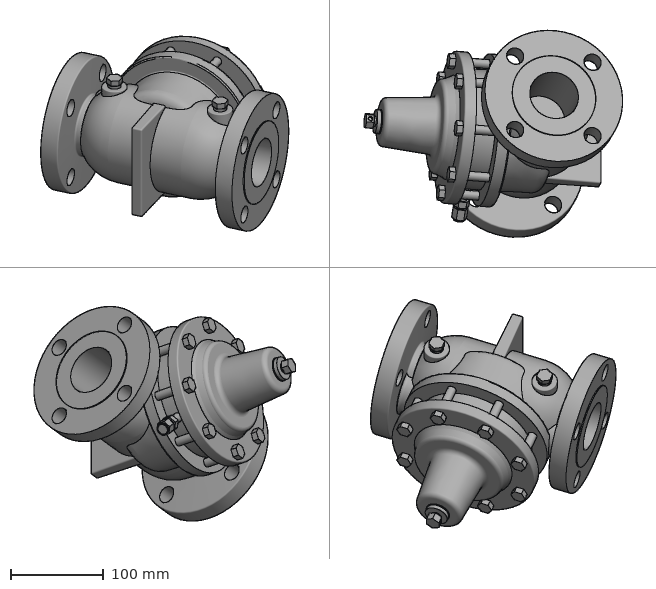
import cadquery as cq
import math

TOTAL_LENGTH_Y = 260.3

FACE_X = 114.3
FLANGE_OUTER_X = 113.0
FLANGE_INNER_X = 92.7
FLANGE_RADIUS = 76.0
RAISED_FACE_RADIUS = 46.0
FLANGE_HUB_X = 91.0
FLANGE_EDGE_FILLET = 1.5
FLANGE_BOLT_CIRCLE_RADIUS = 60.5
FLANGE_BOLT_HOLE_DIAMETER = 18.7
BORE_DIAMETER = 53.5
BORE_END_X = 43.2

BODY_RADIUS = 54.0
SPHERE_CENTRE_X = 43.2
NECK_RADIUS = 33.5
NECK_START_X = 83.5
NECK_FILLET = 1.8

DIAPHRAGM_NECK_TOP_RADIUS = 65.0
DIAPHRAGM_NECK_LOW_RADIUS = 63.8
DIAPHRAGM_NECK_LOW_Y = -2.5
DIAPHRAGM_NECK_ROUND = 12.5
DIAPHRAGM_NECK_FILLET = 1.3

DISC_RADIUS = 82.5
LOWER_DISC_Y = (39.5, 53.5)
SPACER_Y = (53.5, 77.3)
SPACER_RADIUS = 65.0
UPPER_DISC_Y = (78.9, 91.5)
LOWER_DISC_FILLET = 1.5
UPPER_DISC_FILLET = 1.5

BONNET_FOOT_RADIUS = 56.5
BONNET_FOOT_TOP_RADIUS = 54.1
BONNET_FOOT_TOP_Y = 95.5
SHOULDER_RADIUS = 51.5
SHOULDER_Y = 102.8
SHOULDER_ROUND = 4.7
SHOULDER_FLAT_Y = 107.5
SHOULDER_FLAT_RADII = (47.5, 36.2)
BELL_BASE_RADIUS = 31.0
BELL_BASE_Y = 112.5
BELL_FILLET = 5.7
BELL_TOP_RADIUS = 26.8
BELL_TOP_SIDE_Y = 162.1
BELL_TOP_ROUND = 5.7
BELL_TOP_Y = 168.0
COLLAR_RADIUS = 12.8
COLLAR_BASE_RADIUS = 13.3
COLLAR_BASE_TOP_Y = 169.0
COLLAR_TOP_Y = 173.3
SCREW_RADIUS = 5.7
SCREW_HEAD_Y = 175.7
SCREW_HEAD_FLATS = 14.5
SEAL_HOLE_DIAMETER = 4.7
SEAL_HOLE_DEPTH = 2.5

BOLT_COUNT = 8
BOLT_CIRCLE_RADIUS = 71.3
BOLT_DIAMETER = 10.0
BOLT_HEAD_FLATS = 14.3
BOLT_HEAD_HEIGHT = 6.8

LEFT_PLUG_X = -59.3
RIGHT_PLUG_X = 65.3
PLUG_BOSS_RADIUS = 13.8
PLUG_BOSS_TOP_Z = 55.7
PLUG_BOSS_FILLET = 1.0
PLUG_COLLAR_RADIUS = 7.3
PLUG_HEAD_Z = (59.3, 65.8)
PLUG_HEAD_FLATS = 15.0

FOOT_END_Y = -75.0
FOOT_HALF_HEIGHT = 54.0
FOOT_ROOT_HALF_WIDTH = 7.5
FOOT_END_HALF_WIDTH = 6.2
FOOT_EDGE_FILLET = 1.8

PASSAGE_START_X = 70.3
PASSAGE_RADIUS = 23.5
PASSAGE_CENTRE_Y = 25.2
PASSAGE_FLARE = 4.0

FITTING_Y = 65.5
FITTING_ANGLE = 45.0
FITTING_OFFSET = -2.0
FITTING_ROOT_R = 57.3
FITTING_STEM_RADIUS = 5.2
FITTING_HEX_R = (82.2, 89.5)
FITTING_HEX_FLATS = 15.0
FITTING_NUT_R = (92.0, 105.0)
FITTING_NUT_FLATS = 14.3
FITTING_END_R = 106.5
FITTING_END_RADIUS = 5.7
FITTING_NUT_CHAMFER = 1.5


def corner_diameter(flats):
    """Across-corners size of a hexagon with the given size across flats."""
    return flats / math.cos(math.radians(30))


def disc(radius, y_range):
    """Round disc about the Y axis between two Y positions."""
    low, high = y_range
    return cq.Workplane("XZ", origin=(0, low, 0)).circle(radius).extrude(low - high)


def both_ends(half):
    """A feature on the +X side together with its mirror image on the -X side."""
    return half.union(half.mirror("YZ"))


def pipe_body():
    sphere_drop = NECK_START_X - SPHERE_CENTRE_X
    sphere_end_radius = math.sqrt(BODY_RADIUS**2 - sphere_drop**2)
    half = (
        cq.Workplane("XY")
        .lineTo(0, BODY_RADIUS)
        .lineTo(SPHERE_CENTRE_X, BODY_RADIUS)
        .radiusArc((NECK_START_X, sphere_end_radius), BODY_RADIUS)
        .lineTo(NECK_START_X, NECK_RADIUS)
        .lineTo(FLANGE_HUB_X - NECK_FILLET, NECK_RADIUS)
        .radiusArc((FLANGE_HUB_X, NECK_RADIUS + NECK_FILLET), -NECK_FILLET)
        .lineTo(FLANGE_INNER_X, FLANGE_RADIUS - FLANGE_EDGE_FILLET)
        .radiusArc((FLANGE_INNER_X + FLANGE_EDGE_FILLET, FLANGE_RADIUS), FLANGE_EDGE_FILLET)
        .lineTo(FLANGE_OUTER_X, FLANGE_RADIUS)
        .lineTo(FLANGE_OUTER_X, RAISED_FACE_RADIUS)
        .lineTo(FACE_X, RAISED_FACE_RADIUS)
        .lineTo(FACE_X, 0)
        .close()
        .revolve(360, (0, 0, 0), (1, 0, 0))
    )
    return both_ends(half)


def passages():
    flare_x = FLANGE_HUB_X - PASSAGE_FLARE
    half = (
        cq.Workplane("XY", origin=(0, PASSAGE_CENTRE_Y, 0))
        .moveTo(PASSAGE_START_X, 0)
        .lineTo(PASSAGE_START_X, PASSAGE_RADIUS)
        .lineTo(flare_x, PASSAGE_RADIUS)
        .radiusArc((FLANGE_HUB_X, PASSAGE_RADIUS + PASSAGE_FLARE), -PASSAGE_FLARE)
        .lineTo(FLANGE_INNER_X, PASSAGE_RADIUS + PASSAGE_FLARE)
        .lineTo(FLANGE_INNER_X, 0)
        .close()
        .revolve(360, (0, 0, 0), (1, 0, 0))
    )
    return both_ends(half)


def diaphragm_neck():
    top_y = LOWER_DISC_Y[0]
    bottom_y = DIAPHRAGM_NECK_LOW_Y - DIAPHRAGM_NECK_ROUND
    return (
        cq.Workplane("XY")
        .moveTo(0, bottom_y)
        .lineTo(DIAPHRAGM_NECK_LOW_RADIUS - DIAPHRAGM_NECK_ROUND, bottom_y)
        .radiusArc((DIAPHRAGM_NECK_LOW_RADIUS, DIAPHRAGM_NECK_LOW_Y), -DIAPHRAGM_NECK_ROUND)
        .lineTo(DIAPHRAGM_NECK_TOP_RADIUS, top_y - DIAPHRAGM_NECK_FILLET)
        .radiusArc((DIAPHRAGM_NECK_TOP_RADIUS + DIAPHRAGM_NECK_FILLET, top_y), DIAPHRAGM_NECK_FILLET)
        .lineTo(0, top_y)
        .close()
        .revolve(360, (0, 0, 0), (0, 1, 0))
    )


def clamped_discs():
    lower = disc(DISC_RADIUS, LOWER_DISC_Y).faces("<Y").edges().fillet(LOWER_DISC_FILLET)
    spacer = disc(SPACER_RADIUS, SPACER_Y)
    upper = disc(DISC_RADIUS, UPPER_DISC_Y).faces(">Y").edges().fillet(UPPER_DISC_FILLET)
    return lower.union(spacer).union(upper)


def bonnet():
    base_y = UPPER_DISC_Y[1]
    return (
        cq.Workplane("XY")
        .moveTo(0, base_y)
        .lineTo(BONNET_FOOT_RADIUS, base_y)
        .lineTo(BONNET_FOOT_TOP_RADIUS, BONNET_FOOT_TOP_Y)
        .lineTo(SHOULDER_RADIUS, SHOULDER_Y)
        .radiusArc((SHOULDER_FLAT_RADII[0], SHOULDER_FLAT_Y), -SHOULDER_ROUND)
        .lineTo(SHOULDER_FLAT_RADII[1], SHOULDER_FLAT_Y)
        .radiusArc((BELL_BASE_RADIUS, BELL_BASE_Y), BELL_FILLET)
        .lineTo(BELL_TOP_RADIUS, BELL_TOP_SIDE_Y)
        .radiusArc((BELL_TOP_RADIUS - BELL_TOP_ROUND, BELL_TOP_Y), -BELL_TOP_ROUND)
        .lineTo(COLLAR_BASE_RADIUS, BELL_TOP_Y)
        .lineTo(COLLAR_BASE_RADIUS, COLLAR_BASE_TOP_Y)
        .lineTo(COLLAR_RADIUS, COLLAR_BASE_TOP_Y)
        .lineTo(COLLAR_RADIUS, COLLAR_TOP_Y)
        .lineTo(SCREW_RADIUS, COLLAR_TOP_Y)
        .lineTo(SCREW_RADIUS, SCREW_HEAD_Y)
        .lineTo(0, SCREW_HEAD_Y)
        .close()
        .revolve(360, (0, 0, 0), (0, 1, 0))
    )


def adjusting_screw_head():
    head_top_y = TOTAL_LENGTH_Y - FLANGE_RADIUS
    head = (
        cq.Workplane("XZ", origin=(0, SCREW_HEAD_Y, 0))
        .transformed(rotate=(0, 0, 30))
        .polygon(6, corner_diameter(SCREW_HEAD_FLATS))
        .extrude(SCREW_HEAD_Y - head_top_y)
    )
    seal_hole = (
        cq.Workplane("YZ", origin=(-SCREW_HEAD_FLATS / 2, (SCREW_HEAD_Y + head_top_y) / 2, 0))
        .circle(SEAL_HOLE_DIAMETER / 2)
        .extrude(SEAL_HOLE_DEPTH)
    )
    return head.cut(seal_hole)


def clamping_bolts():
    first_angle = 180 / BOLT_COUNT
    shank_y = LOWER_DISC_Y[1]
    head_y = UPPER_DISC_Y[1]
    bolts = cq.Workplane("XZ")
    for i in range(BOLT_COUNT):
        angle = math.radians(first_angle + i * 360 / BOLT_COUNT)
        x = BOLT_CIRCLE_RADIUS * math.cos(angle)
        z = BOLT_CIRCLE_RADIUS * math.sin(angle)
        shank = cq.Workplane("XZ", origin=(x, shank_y, z)).circle(BOLT_DIAMETER / 2).extrude(shank_y - head_y)
        head = (
            cq.Workplane("XZ", origin=(x, head_y, z))
            .polygon(6, corner_diameter(BOLT_HEAD_FLATS))
            .extrude(-BOLT_HEAD_HEIGHT)
        )
        bolts = bolts.union(shank).union(head)
    return bolts


def plug(x):
    boss = (
        cq.Workplane("XY", origin=(x, 0, 0))
        .circle(PLUG_BOSS_RADIUS)
        .extrude(PLUG_BOSS_TOP_Z)
        .faces(">Z").edges().fillet(PLUG_BOSS_FILLET)
    )
    collar = cq.Workplane("XY", origin=(x, 0, 0)).circle(PLUG_COLLAR_RADIUS).extrude(PLUG_HEAD_Z[0])
    head = (
        cq.Workplane("XY", origin=(x, 0, PLUG_HEAD_Z[0]))
        .transformed(rotate=(0, 0, 30))
        .polygon(6, corner_diameter(PLUG_HEAD_FLATS))
        .extrude(PLUG_HEAD_Z[1] - PLUG_HEAD_Z[0])
    )
    return boss.union(collar).union(head)


def foot_plate():
    return (
        cq.Workplane("XY", origin=(0, 0, -FOOT_HALF_HEIGHT))
        .moveTo(-FOOT_ROOT_HALF_WIDTH, 0)
        .lineTo(FOOT_ROOT_HALF_WIDTH, 0)
        .lineTo(FOOT_END_HALF_WIDTH, FOOT_END_Y)
        .lineTo(-FOOT_END_HALF_WIDTH, FOOT_END_Y)
        .close()
        .extrude(2 * FOOT_HALF_HEIGHT)
        .faces("<Y or <Z or >Z").edges("not >Y").fillet(FOOT_EDGE_FILLET)
    )


def vent_fitting():
    """Built along +X from the Y axis, then turned towards -Z."""
    def round_part(radius, start, end):
        return cq.Workplane("YZ", origin=(start, FITTING_Y, FITTING_OFFSET)).circle(radius).extrude(end - start)

    def hex_part(flats, span):
        return (
            cq.Workplane("YZ", origin=(span[0], FITTING_Y, FITTING_OFFSET))
            .polygon(6, corner_diameter(flats))
            .extrude(span[1] - span[0])
        )

    stem = round_part(FITTING_STEM_RADIUS, FITTING_ROOT_R, FITTING_NUT_R[1])
    end = round_part(FITTING_END_RADIUS, FITTING_NUT_R[0], FITTING_END_R)
    nut_envelope = (
        round_part(corner_diameter(FITTING_NUT_FLATS) / 2, *FITTING_NUT_R)
        .faces(">X").edges().chamfer(FITTING_NUT_CHAMFER)
    )
    nut = hex_part(FITTING_NUT_FLATS, FITTING_NUT_R).intersect(nut_envelope)
    fitting = stem.union(end).union(nut).union(hex_part(FITTING_HEX_FLATS, FITTING_HEX_R))
    return fitting.rotate((0, 0, 0), (0, 1, 0), FITTING_ANGLE)


def bores():
    half = (
        cq.Workplane("YZ", origin=(BORE_END_X, 0, 0))
        .circle(BORE_DIAMETER / 2)
        .extrude(FACE_X - BORE_END_X)
    )
    return both_ends(half)


def flange_bolt_holes():
    spacing = math.sqrt(2) * FLANGE_BOLT_CIRCLE_RADIUS
    half = (
        cq.Workplane("YZ", origin=(FLANGE_HUB_X, 0, 0))
        .rect(spacing, spacing, forConstruction=True)
        .vertices()
        .circle(FLANGE_BOLT_HOLE_DIAMETER / 2)
        .extrude(FLANGE_OUTER_X - FLANGE_HUB_X)
    )
    return both_ends(half)


result = (
    pipe_body()
    .union(passages())
    .union(diaphragm_neck())
    .union(foot_plate())
    .union(plug(LEFT_PLUG_X))
    .union(plug(RIGHT_PLUG_X))
    .union(clamped_discs())
    .union(bonnet())
    .union(adjusting_screw_head())
    .union(clamping_bolts())
    .union(vent_fitting())
    .cut(bores())
    .cut(flange_bolt_holes())
)